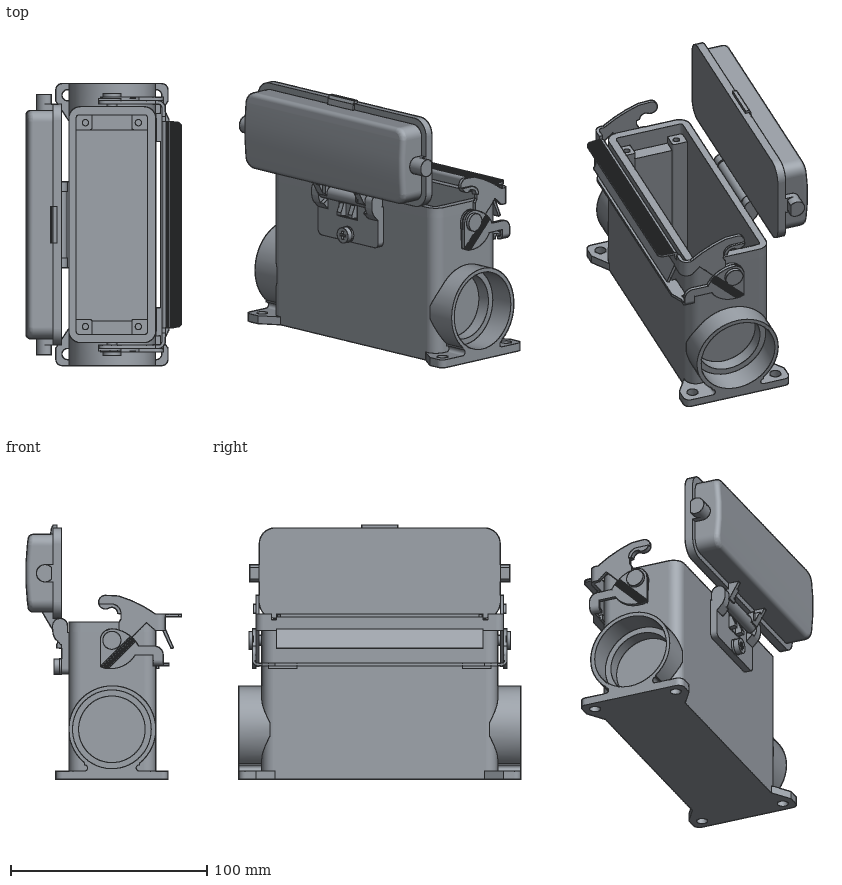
import cadquery as cq
import math

body_x = 44.4
body_center_x = 0.2
body_y = 120.4
body_z = 80.3
body_corner = 6.0
collar_z = 75.0
collar_draft = 0.5
cavity_x = 36.4
cavity_y = 112.0
cavity_corner = 1.5
floor_t = 4.2

post_x = 8.0
post_y = 7.6
post_corner = 0.8
post_top = 74.0
ledge_top = 70.0
ledge_y_front = 6.8
ledge_y_back = 7.6
insert_hole_x = 13.5
insert_hole_y = 52.0
insert_hole_r = 1.6
insert_hole_depth = 12.0

overall_y = 144.0
entry_z = 25.5
entry_r = body_x / 2 - 0.02
socket_r = 20.1
socket_depth = 13.2
bore_r = 17.0
bore_depth = 20.2
web_half = 12.4
web_relief_r = 1.6

foot_t = 4.2
foot_x = 57.3
foot_corner = 3.3
foot_shoulder_y = 63.0
foot_root_y = 53.2
foot_hole_x = 22.6
foot_hole_y = 66.0
foot_hole_r = 2.8

cover_back_x = -25.7
rim_t = 4.3
rim_z0 = 82.1
rim_z1 = 128.3
rim_y = 123.0
rim_corner = 8.2
dome_front_x = -44.0
dome_face_r = 125.0
dome_z0 = 85.3
dome_z1 = 125.0
dome_y = 116.6
dome_corner = 5.8
dome_edge_r = 2.6
peg_x = -34.1
peg_z = 105.1
peg_r = 4.4
peg_flat_x = -30.9
peg_end_y = 66.4
tab_y = 18.5
tab_top = 129.73

hinge_x = -26.4
hinge_z = 78.3
hinge_r = 3.8
hinge_half_y = 22.0
barrel_z = 77.6
barrel_r = 3.6
lobe_inner_y = 17.0
brace_inner_y = 14.6
neck_bulge = (-29.8, 73.5)
brace_front_x = -28.9
brace_mid_z = 71.6
neck_foot_z = 68.2
neck_back_z = 73.6
neck_bend_z = 75.3
arm_t = 2.2
arm_pad_inner_y = 11.0
arm_pad_slope_y = 12.9
arm_pad_front_x = -31.2
arm_pad_top = 82.4
arm_front_x = -35.6
arm_foot_x = -30.4
hinge_arm_foot_z = 76.5
plate_back_x = body_center_x - body_x / 2
plate_front_x = -25.6
plate_z0 = 53.7
plate_z1 = 75.0
plate_corner = 2.8
clip_y = 12.8
clip_z0 = 66.3
clip_z1 = 73.4
clip_depth = 0.8
clip_corner = 1.0
clip_bevel = 0.4
hook_offset_y = 4.05
hook_w = 2.9
screw_z = 57.5
screw_r = 3.95
screw_washer_r = 4.1
screw_washer_t = 1.1
screw_front_x = -29.6
cross_len = 4.1
cross_w = 1.2
cross_depth = 1.5

pivot_z = 70.9
pivot_shaft_r = 2.6
pivot_head_r = 4.6
pivot_head_y = 66.8
lever_y0 = 61.5
lever_y1 = 63.2
spring_y1 = 65.0
lip_y1 = 64.4
lip_center = (-0.2, 84.6)
lip_r0 = 3.1
lip_r1 = 4.8
tip_center = (-3.3, 90.35)
tip_r = 3.55
bar_x0 = 25.5
bar_x1 = 27.3
bar_z0 = 75.9
bar_z1 = 84.4
skirt_overlap = 0.8
bar_corner = 3.8
bar_top_r = 1.9
bar_notch_y = 2.5
bar_notch_depth = 3.0
grip_half_y = 52.7
grip_x1 = 35.6
grip_t = 1.5
grip_taper_x = 29.4
grip_corner_x = 1.5
knurl_bands = ((27.6, 28.9), (29.6, 29.9), (30.3, 35.0))
knurl_pitch = 0.55
knurl_w = 0.27
knurl_depth = 0.25
band_grooves = 4
band_pitch = 1.1
band_groove_w = 0.6
band_groove_depth = 0.6
band_length = 22.0
arm_x0 = 21.0
arm_x1 = 26.2
arm_foot_z = 57.9
arm_bend_r = 2.8
spring_gap = 1.0
rail_x0 = 24.7
rail_x1 = 29.2
rail_t = 1.4
rail_half_y = 53.5
rail_end_y = 60.0
rail_tab_x0 = 22.6
rail_tab_y0 = 42.3
rail_tab_y1 = 56.7
rail_tab_z0 = 56.5

overlap = 1.0
both_signs = (-1, 1)


def box(x0, x1, y0, y1, z0, z1):
    """Axis-aligned box given by its limits."""
    return cq.Workplane("XY").box(x1 - x0, y1 - y0, z1 - z0, centered=False).translate((x0, y0, z0))


def y_plane(y):
    """XZ sketch plane at the given Y; a positive extrusion goes toward -Y."""
    return cq.Workplane(cq.Plane(origin=(0, y, 0), xDir=(1, 0, 0), normal=(0, -1, 0)))


def y_cylinder(x, z, r, y0, y1):
    """Cylinder along Y between y0 and y1."""
    return y_plane(y0).center(x, z).circle(r).extrude(y0 - y1)


def x_cylinder(x0, x1, y, z, r):
    """Cylinder along X between x0 and x1."""
    return cq.Workplane("YZ", origin=(x0, y, z)).circle(r).extrude(x1 - x0)


def both_ends(solid):
    """The solid together with its mirror image at the other Y end."""
    return solid.union(solid.mirror("XZ"))


def housing():
    shell = box(-body_x / 2, body_x / 2, -body_y / 2, body_y / 2, 0, collar_z)
    shell = shell.edges("|Z").fillet(body_corner)
    rim = shell.faces(">Z").wires().toPending().workplane()
    shell = rim.extrude(body_z - collar_z, taper=collar_draft)
    return shell.translate((body_center_x, 0, 0))


def cavity():
    pocket = box(-cavity_x / 2, cavity_x / 2, -cavity_y / 2, cavity_y / 2, floor_t, body_z)
    return pocket.edges("|Z").fillet(cavity_corner)


def end_seats(ledge_y):
    """End wall up to its ledge, with a screw post in each corner, at the +Y end."""
    end_y = cavity_y / 2
    half = cavity_x / 2
    seats = box(-half, half, end_y - ledge_y, end_y, floor_t, ledge_top)
    posts = box(-half, post_x - half, end_y - post_y, end_y, floor_t, post_top)
    posts = posts.edges("|Z and >X and <Y").fillet(post_corner)
    posts = posts.union(posts.mirror("YZ"))
    holes = (
        cq.Workplane("XY", origin=(0, insert_hole_y, post_top))
        .pushPoints([(-insert_hole_x, 0), (insert_hole_x, 0)])
        .circle(insert_hole_r)
        .extrude(-insert_hole_depth)
    )
    return seats.union(posts).cut(holes)


def insert_seats():
    return end_seats(ledge_y_back).union(end_seats(ledge_y_front).mirror("XZ"))


def foot():
    """Mounting foot at the +Y end, its shoulders tapering in to the body."""
    half = foot_x / 2
    outline = [
        (-half, overall_y / 2), (half, overall_y / 2), (half, foot_shoulder_y),
        (body_x / 2, foot_root_y), (-body_x / 2, foot_root_y), (-half, foot_shoulder_y),
    ]
    plate = cq.Workplane("XY").polyline(outline).close().extrude(foot_t)
    plate = plate.edges("|Z and >Y").fillet(foot_corner)
    holes = (
        cq.Workplane("XY").pushPoints([(-foot_hole_x, foot_hole_y), (foot_hole_x, foot_hole_y)])
        .circle(foot_hole_r).extrude(foot_t)
    )
    return plate.cut(holes)


def entry():
    """Round cable entry and the web that joins it to the foot, at the +Y end."""
    y0 = cavity_y / 2
    y1 = overall_y / 2
    tube = y_cylinder(body_center_x, entry_z, entry_r, y0, y1)
    relief_x = web_half + web_relief_r
    web = box(-relief_x, relief_x, y0, y1, foot_t, foot_t + 2 * web_relief_r + overlap)
    for side in both_signs:
        web = web.cut(y_cylinder(side * relief_x, foot_t + web_relief_r, web_relief_r, y0, y1))
    return tube.union(web)


def entry_bore():
    y1 = overall_y / 2
    socket = y_cylinder(0, entry_z, socket_r, y1 - socket_depth, y1)
    return socket.union(y_cylinder(0, entry_z, bore_r, y1 - bore_depth, y1))


def cover():
    rim = box(cover_back_x - rim_t, cover_back_x, -rim_y / 2, rim_y / 2, rim_z0, rim_z1)
    rim = rim.edges("|X").fillet(rim_corner)
    mid_z = (dome_z0 + dome_z1) / 2
    half_z = (dome_z1 - dome_z0) / 2
    edge_x = dome_front_x + dome_face_r - math.sqrt(dome_face_r**2 - half_z**2)
    dome = (
        y_plane(dome_y / 2).moveTo(cover_back_x, dome_z0).lineTo(edge_x, dome_z0)
        .threePointArc((dome_front_x, mid_z), (edge_x, dome_z1)).lineTo(cover_back_x, dome_z1)
        .close().extrude(dome_y)
    )
    dome = dome.edges("|X").fillet(dome_corner)
    dome = dome.faces("<X").edges().fillet(dome_edge_r)
    return rim.union(dome).union(both_ends(cover_peg())).union(cover_tab())


def cover_peg():
    """Locking peg at the +Y end, flattened toward the rim, with the block that backs it."""
    y0 = dome_y / 2 - overlap
    peg = y_cylinder(peg_x, peg_z, peg_r, y0, peg_end_y)
    peg = peg.cut(box(peg_flat_x, peg_x + peg_r, y0, peg_end_y, peg_z - peg_r, peg_z + peg_r))
    back = box(peg_x, cover_back_x - rim_t, y0, rim_y / 2, peg_z - peg_r, peg_z + peg_r)
    return peg.union(back)


def cover_tab():
    """Small finger tab on the top edge of the cover."""
    outline = [
        (-31.3, dome_z1), (-30.9, 128.1), (-30.0, tab_top), (-28.0, tab_top),
        (-27.9, rim_z1), (-27.9, dome_z1),
    ]
    return y_plane(tab_y / 2).polyline(outline).close().extrude(tab_y)


def hinge_lobe():
    """Hinge ear at the +Y side: a round head whose neck slopes back into the plate, with a brace."""
    head = y_cylinder(hinge_x, hinge_z, hinge_r, lobe_inner_y, hinge_half_y)
    front = hinge_x - hinge_r
    neck = (
        y_plane(hinge_half_y)
        .moveTo(front, hinge_z).lineTo(hinge_x + hinge_r, hinge_z).lineTo(hinge_x + hinge_r, neck_back_z)
        .lineTo(plate_back_x, neck_back_z).lineTo(plate_back_x, neck_foot_z).lineTo(plate_front_x, neck_foot_z)
        .lineTo(brace_front_x, brace_mid_z).threePointArc(neck_bulge, (front, neck_bend_z)).close()
        .extrude(hinge_half_y - lobe_inner_y)
    )
    brace_outline = [(plate_front_x, neck_back_z), (brace_front_x, brace_mid_z), (plate_front_x, neck_foot_z)]
    brace = y_plane(lobe_inner_y).polyline(brace_outline).close().extrude(lobe_inner_y - brace_inner_y)
    return head.union(neck).union(brace)


def hinge_arm():
    """Sloping arm of the cover that holds the hinge barrel, at the +Y side, with its pad."""
    y1 = lobe_inner_y
    outline = [
        (arm_front_x, dome_z0), (arm_foot_x, hinge_arm_foot_z), (-27.0, 75.6),
        (hinge_x, 80), (cover_back_x - rim_t, dome_z0),
    ]
    full = y_plane(y1).polyline(outline).close().extrude(y1 - arm_pad_inner_y)
    arm = full.intersect(box(arm_front_x, hinge_x, y1 - arm_t, y1, barrel_z - barrel_r, dome_z0))
    z0, z1 = hinge_arm_foot_z, arm_pad_top
    slope = full.intersect(box(arm_front_x, hinge_x, arm_pad_slope_y, y1, z0, z1))
    pad = full.intersect(box(arm_pad_front_x, hinge_x, arm_pad_inner_y, arm_pad_slope_y, z0, z1))
    return arm.union(slope).union(pad)


def hinge_plate():
    plate = box(plate_front_x, plate_back_x, -hinge_half_y, hinge_half_y, plate_z0, plate_z1)
    plate = plate.edges("|X and <Z").fillet(plate_corner)
    window = box(plate_front_x, plate_front_x + clip_depth, -clip_y / 2, clip_y / 2, clip_z0, clip_z1)
    plate = plate.cut(window.edges("|X and <Z").fillet(clip_corner))
    mouth = cq.Workplane("YZ", origin=(plate_front_x, 0, (clip_z0 + clip_z1) / 2))
    mouth = mouth.rect(clip_y + 2 * clip_bevel, clip_z1 - clip_z0 + 2 * clip_bevel).workplane(offset=clip_bevel)
    return plate.cut(mouth.rect(clip_y, clip_z1 - clip_z0).loft())


def hinge():
    barrel = y_cylinder(hinge_x, barrel_z, barrel_r, -lobe_inner_y, lobe_inner_y)
    side_parts = both_ends(hinge_lobe().union(hinge_arm()))
    return hinge_plate().union(barrel).union(side_parts).union(clip_hooks()).union(plate_screw())


def clip_hooks():
    outline = [
        (plate_front_x + clip_depth, clip_z1), (-26.2, clip_z1), (-28.2, 68.7), (-28.2, 67.0),
        (plate_front_x + clip_depth, 66.6),
    ]
    hook = y_plane(hook_offset_y + hook_w / 2).polyline(outline).close().extrude(hook_w)
    return both_ends(hook)


def plate_screw():
    axis = cq.Workplane("YZ", origin=(plate_front_x, 0, screw_z))
    head = axis.circle(screw_r).extrude(screw_front_x - plate_front_x)
    head = head.union(axis.circle(screw_washer_r).extrude(-screw_washer_t))
    front = cq.Workplane("YZ", origin=(screw_front_x, 0, screw_z))
    cross = front.rect(cross_len, cross_w).extrude(cross_depth)
    return head.cut(cross.union(front.rect(cross_w, cross_len).extrude(cross_depth)))


def lever_side():
    """Hooked side plate of the lever at the +Y end."""
    plate = (
        y_plane(lever_y1)
        .moveTo(-3.3, 86.8).threePointArc((-6.8, 90.4), (-3.3, 93.9)).lineTo(3.3, 93.6)
        .threePointArc((13.9, 89.4), (22.2, bar_z1)).lineTo(bar_x1 - bar_corner, bar_z1)
        .lineTo(bar_x1 - bar_corner, bar_z0).lineTo(22.2, bar_z0).lineTo(17.6, 79.9).lineTo(-4.7, 57.5)
        .lineTo(-5.5, pivot_z).threePointArc((-3.0, 75.5), (3.5, 76.1)).lineTo(3.5, 79.9)
        .lineTo(4.6, 81.8).lineTo(4.6, 84.2).lineTo(lip_center[0] + lip_r0, lip_center[1])
        .threePointArc((2.0, 86.8), (lip_center[0], lip_center[1] + lip_r0)).close()
        .extrude(lever_y1 - lever_y0)
    )
    return plate.union(hook_lip())


def hook_lip():
    """Raised lip around the mouth and along the underside of the lever hook."""
    cx, cz = lip_center
    ring = y_cylinder(cx, cz, lip_r1, lever_y0, lip_y1).cut(y_cylinder(cx, cz, lip_r0, lever_y0, lip_y1))
    ring = ring.intersect(box(cx, cx + lip_r1, lever_y0, lip_y1, cz, cz + lip_r1))
    tip = y_cylinder(tip_center[0], tip_center[1], tip_r, lever_y0, lip_y1)
    tip = tip.intersect(box(tip_center[0] - tip_r, cx, lever_y0, lip_y1, tip_center[1] - tip_r, cz + lip_r1))
    bridge = box(tip_center[0], cx, lever_y0, lip_y1, cz + lip_r0, cz + lip_r1)
    return ring.union(tip).union(bridge)


def spring_plate():
    """Outer plate around the pivot with an arm that ends in a rounded hook."""
    plate = (
        y_plane(spring_y1)
        .moveTo(-5.9, 57.5).lineTo(-5.9, pivot_z).threePointArc((-4.2, 75.1), (0, 76.8))
        .threePointArc((8, 74.1), (13.7, 67.9)).lineTo(22.2, 67.9)
        .threePointArc((25.2, 66.3), (arm_x1, 63)).lineTo(arm_x1, arm_foot_z + arm_bend_r)
        .lineTo(arm_x0, arm_foot_z + arm_bend_r).lineTo(arm_x0, 63.3)
        .lineTo(11.8, 63.3).threePointArc((7.4, 58.8), (0.5, 56.5)).lineTo(-3.3, 56.5).close()
        .extrude(spring_y1 - lever_y1)
    )
    w = band_groove_w
    for i in range(band_grooves):
        groove = box(-w / 2, w / 2, spring_y1 - band_groove_depth, spring_y1, 0, band_length)
        groove = groove.rotate((0, 0, 0), (0, 1, 0), 45)
        plate = plate.cut(groove.translate((-5.6 + i * band_pitch, 0, 57.5 - i * band_pitch / 3)))
    return plate


def pivot():
    shaft = y_cylinder(0, pivot_z, pivot_shaft_r, cavity_y / 2 + overlap, spring_y1)
    return shaft.union(y_cylinder(0, pivot_z, pivot_head_r, spring_y1, pivot_head_y))


def spring_foot():
    """Inward bend under the arm and the tab that hangs beside the housing, at the +Y end."""
    y0 = body_y / 2 + spring_gap
    bend_z = arm_foot_z + arm_bend_r
    bend = x_cylinder(arm_x0, arm_x1, spring_y1 - arm_bend_r, bend_z, arm_bend_r)
    bend = bend.cut(x_cylinder(arm_x0, arm_x1, spring_y1 - arm_bend_r, bend_z, arm_bend_r - rail_t))
    bend = bend.intersect(box(arm_x0, arm_x1, spring_y1 - arm_bend_r, spring_y1, arm_foot_z, bend_z))
    flange = box(arm_x0, arm_x1, y0, spring_y1 - arm_bend_r, arm_foot_z, arm_foot_z + rail_t)
    neck = box(rail_x0, arm_x1, rail_half_y, y0, arm_foot_z, arm_foot_z + rail_t)
    rail_top = arm_foot_z + rail_t
    tab = box(rail_tab_x0, rail_tab_x0 + rail_t, rail_tab_y0, rail_tab_y1, rail_tab_z0, rail_top)
    link = box(rail_tab_x0, rail_x0, rail_tab_y0, rail_tab_y1, arm_foot_z, rail_top)
    return bend.union(flange).union(neck).union(tab).union(link)


def spring_rail():
    """Flat rail joining the two spring arms along the +X side."""
    outline = [
        (rail_x0, rail_end_y), (arm_x1, rail_end_y), (rail_x1, rail_half_y),
        (rail_x1, -rail_half_y), (arm_x1, -rail_end_y), (rail_x0, -rail_end_y),
    ]
    return cq.Workplane("XY", origin=(0, 0, arm_foot_z)).polyline(outline).close().extrude(rail_t)


def lever_bar():
    """Cross bar joining both side plates round two bends."""
    t = bar_x1 - bar_x0
    outer = box(0, bar_x1, -lever_y1, lever_y1, bar_z0, bar_z1)
    outer = outer.edges("|Z and >X").fillet(bar_corner)
    inner = box(0, bar_x0, -lever_y0, lever_y0, bar_z0, bar_z1)
    inner = inner.edges("|Z and >X").fillet(bar_corner - t)
    near = box(bar_x1 - bar_corner, bar_x1, -lever_y1, lever_y1, bar_z0, bar_z1)
    y0, y1 = grip_half_y, grip_half_y + bar_notch_y
    notch = both_ends(box(bar_x0, bar_x1, y0, y1, bar_z1 - bar_notch_depth, bar_z1))
    return outer.cut(inner).intersect(near).cut(notch)


def grip():
    """Finger grip with fine grooves along its upper face."""
    half = grip_half_y
    corner_x = grip_x1 - grip_corner_x
    outline = [
        (bar_x0, half), (grip_taper_x, half), (corner_x, half - 0.5), (grip_x1, half - 2),
        (grip_x1, 2 - half), (corner_x, 0.5 - half), (grip_taper_x, -half), (bar_x0, -half),
    ]
    plate = cq.Workplane("XY", origin=(0, 0, bar_z1)).polyline(outline).close().extrude(-grip_t)
    for x0, x1 in knurl_bands:
        for i in range(math.ceil((x1 - x0) / knurl_pitch)):
            x = x0 + i * knurl_pitch
            plate = plate.cut(box(x, x + knurl_w, -half, half, bar_z1 - knurl_depth, bar_z1))
    return plate


def grip_bend():
    """Corner to remove so that the bar rolls over into the grip."""
    half = grip_half_y
    corner = box(bar_x0, bar_x0 + bar_top_r, -half, half, bar_z1 - bar_top_r, bar_z1)
    return corner.cut(y_cylinder(bar_x0 + bar_top_r, bar_z1 - bar_top_r, bar_top_r, -half, half))


def skirt():
    outline = [(bar_x0, bar_z0 + skirt_overlap), (bar_x1, bar_z0 + skirt_overlap), (31.5, 67.0), (30.2, 66.6)]
    return y_plane(grip_half_y).polyline(outline).close().extrude(2 * grip_half_y)


result = housing().union(both_ends(foot())).union(both_ends(entry()))
result = result.cut(cavity()).union(insert_seats()).cut(both_ends(entry_bore()))
result = result.union(hinge()).union(cover())
result = result.union(both_ends(lever_side().union(spring_plate()).union(pivot()).union(spring_foot())))
result = result.union(lever_bar().union(grip()).cut(grip_bend())).union(skirt()).union(spring_rail())